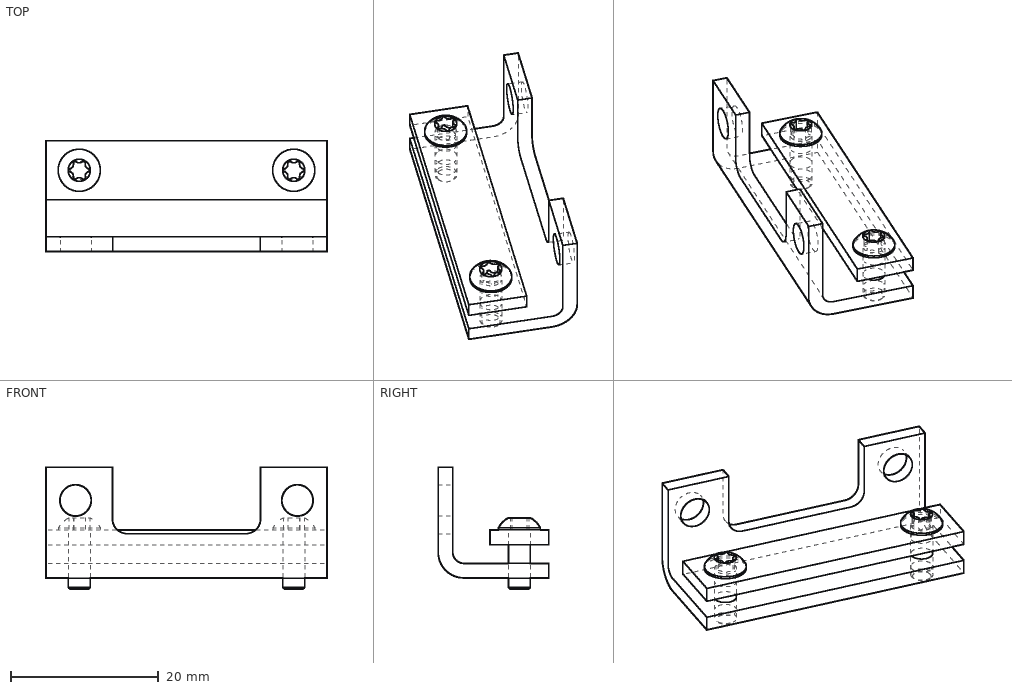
import cadquery as cq
import math


length = 38.0
depth = 15.0
height = 15.0
thickness = 2.0
bend_inner_radius = 1.5
bend_outer_radius = bend_inner_radius + thickness

tab_width = 9.0
notch_width = length - 2 * tab_width
notch_floor_z = 6.0
notch_corner_radius = 2.0

tab_hole_diameter = 4.2
tab_hole_end_distance = 4.0
tab_hole_top_distance = 4.5
tab_hole_x = length / 2 - tab_hole_end_distance
tab_hole_z = height - tab_hole_top_distance

plate_width = 8.0
plate_bottom_z = 4.5
plate_top_z = plate_bottom_z + thickness

screw_diameter = 3.0
screw_length = 8.0
screw_tip_chamfer = 0.25
screw_end_distance = 4.5
screw_x = length / 2 - screw_end_distance
screw_y = depth - plate_width / 2
head_diameter = 5.7
head_height = 1.65
head_rim_height = 0.3
head_flat_diameter = 3.0

lobe_count = 6
recess_tip_radius = 1.42
recess_flute_radius = 1.0
recess_lobe_rounding = 0.2
recess_depth = 1.6


def polar_point(radius, angle):
    """Point in the plane at a radius and an angle in degrees."""
    return (radius * math.cos(math.radians(angle)), radius * math.sin(math.radians(angle)))


def drill_screw_holes(body):
    """Cut the two vertical screw holes through a body."""
    holes = (
        cq.Workplane("XY")
        .pushPoints([(-screw_x, screw_y), (screw_x, screw_y)])
        .circle(screw_diameter / 2)
        .extrude(height)
    )
    return body.cut(holes)


def make_bracket():
    """L-shaped bent bracket with two drilled tabs."""
    bracket = (
        cq.Workplane("YZ")
        .moveTo(depth, 0)
        .lineTo(bend_outer_radius, 0)
        .radiusArc((0, bend_outer_radius), bend_outer_radius)
        .lineTo(0, height)
        .lineTo(thickness, height)
        .lineTo(thickness, bend_outer_radius)
        .radiusArc((bend_outer_radius, thickness), -bend_inner_radius)
        .lineTo(depth, thickness)
        .close()
        .extrude(length / 2, both=True)
    )
    notch_height = height - notch_floor_z
    notch = (
        cq.Workplane("XY")
        .box(notch_width, thickness, notch_height, centered=(True, False, False))
        .edges("|Y and <Z")
        .fillet(notch_corner_radius)
        .translate((0, 0, notch_floor_z))
    )
    tab_holes = (
        cq.Workplane("XZ")
        .pushPoints([(-tab_hole_x, tab_hole_z), (tab_hole_x, tab_hole_z)])
        .circle(tab_hole_diameter / 2)
        .extrude(-thickness)
    )
    return drill_screw_holes(bracket.cut(notch).cut(tab_holes))


def make_clamp_plate():
    """Flat plate held above the base flange by the screws."""
    plate = (
        cq.Workplane("XY")
        .box(length, plate_width, thickness, centered=(True, False, False))
        .translate((0, depth - plate_width, plate_bottom_z))
    )
    return drill_screw_holes(plate)


def make_drive_recess():
    """Six-lobe socket, its mouth on Z = 0 and sinking into -Z."""
    pitch = 360 / lobe_count
    half_pitch = math.radians(pitch / 2)
    lobe_center = recess_tip_radius - recess_lobe_rounding
    flute_rounding = (
        (
            recess_flute_radius**2
            + lobe_center**2
            - 2 * recess_flute_radius * lobe_center * math.cos(half_pitch)
            - recess_lobe_rounding**2
        )
        / (2 * (recess_lobe_rounding - recess_flute_radius + lobe_center * math.cos(half_pitch)))
    )
    flute_center = recess_flute_radius + flute_rounding
    share = recess_lobe_rounding / (recess_lobe_rounding + flute_rounding)
    tangent_x = lobe_center + share * (flute_center * math.cos(half_pitch) - lobe_center)
    tangent_y = share * flute_center * math.sin(half_pitch)
    tangent_radius = math.hypot(tangent_x, tangent_y)
    tangent_angle = math.degrees(math.atan2(tangent_y, tangent_x))

    outline = cq.Workplane("XY").moveTo(*polar_point(tangent_radius, -tangent_angle))
    for lobe in range(lobe_count):
        angle = lobe * pitch
        outline = outline.threePointArc(
            polar_point(recess_tip_radius, angle),
            polar_point(tangent_radius, angle + tangent_angle),
        ).threePointArc(
            polar_point(recess_flute_radius, angle + pitch / 2),
            polar_point(tangent_radius, angle + pitch - tangent_angle),
        )
    return outline.close().extrude(-recess_depth)


def make_screw(x):
    """Button-head screw with its head seated on the clamp plate."""
    head_radius = head_diameter / 2
    flat_radius = head_flat_diameter / 2
    shank_radius = screw_diameter / 2
    dome_center_z = (
        (flat_radius**2 + head_height**2 - head_radius**2 - head_rim_height**2)
        / (2 * (head_height - head_rim_height))
    )
    dome_radius = math.hypot(head_radius, head_rim_height - dome_center_z)
    screw = (
        cq.Workplane("XZ")
        .moveTo(0, head_height)
        .lineTo(flat_radius, head_height)
        .radiusArc((head_radius, head_rim_height), dome_radius)
        .lineTo(head_radius, 0)
        .lineTo(shank_radius, 0)
        .lineTo(shank_radius, screw_tip_chamfer - screw_length)
        .lineTo(shank_radius - screw_tip_chamfer, -screw_length)
        .lineTo(0, -screw_length)
        .close()
        .revolve(360, (0, 0, 0), (0, 1, 0))
    )
    recess = make_drive_recess().translate((0, 0, head_height))
    return screw.cut(recess).translate((x, screw_y, plate_top_z))


bracket = make_bracket()
clamp_plate = make_clamp_plate()
screws = [make_screw(x) for x in (-screw_x, screw_x)]

result = cq.Compound.makeCompound(
    [bracket.val(), clamp_plate.val(), *[screw.val() for screw in screws]]
)